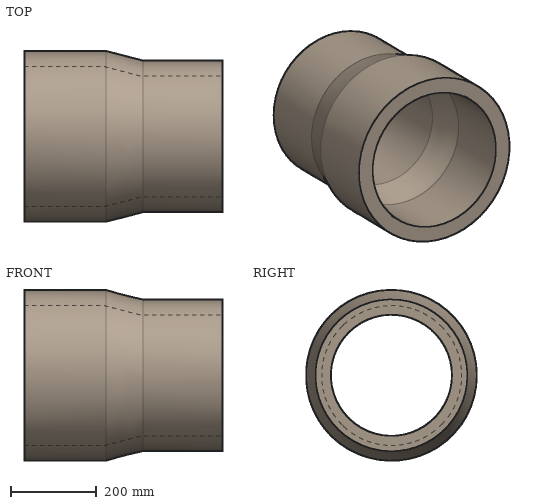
import cadquery as cq
import math

large_outer_diameter = 400.0
small_outer_diameter = 355.0
wall_thickness = 36.3

total_length = 463.0
large_end_length = 190.0
small_end_length = 186.0

large_outer_radius = large_outer_diameter / 2
small_outer_radius = small_outer_diameter / 2
cone_start = large_end_length
cone_end = total_length - small_end_length

cone_angle = math.atan2(large_outer_radius - small_outer_radius, cone_end - cone_start)
bore_corner_shift = wall_thickness * math.tan(cone_angle / 2)


def reducer_solid(large_radius, small_radius, taper_start, taper_end):
    """Solid of revolution about X: large cylinder, cone, then small cylinder."""
    return (
        cq.Workplane("XY")
        .moveTo(0, 0)
        .lineTo(0, large_radius)
        .lineTo(taper_start, large_radius)
        .lineTo(taper_end, small_radius)
        .lineTo(total_length, small_radius)
        .lineTo(total_length, 0)
        .close()
        .revolve(360, (0, 0, 0), (1, 0, 0))
    )


outer_body = reducer_solid(large_outer_radius, small_outer_radius, cone_start, cone_end)
bore = reducer_solid(
    large_outer_radius - wall_thickness,
    small_outer_radius - wall_thickness,
    cone_start - bore_corner_shift,
    cone_end - bore_corner_shift,
)

result = outer_body.cut(bore)